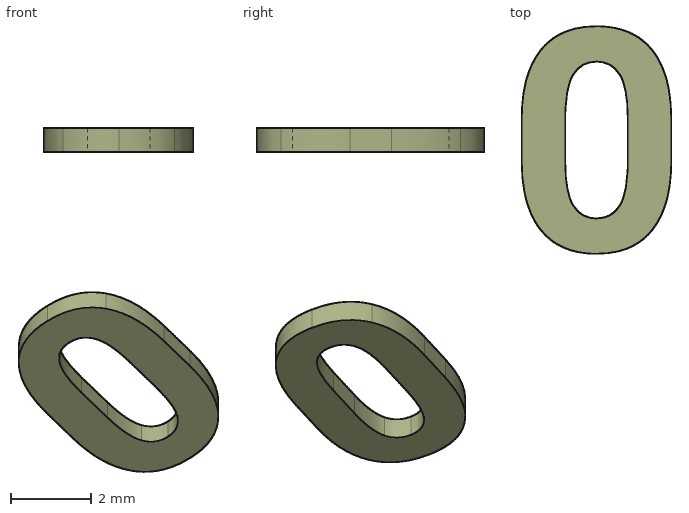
import cadquery as cq

LENGTH = 5.68
WIDTH = 3.74
THICKNESS = 0.6

OUTER_STRAIGHT = 1.035
OUTER_SHOULDER_X = 1.39
OUTER_SHOULDER_Y = 2.245

OPENING_LENGTH = 3.91
OPENING_WIDTH = 1.555
OPENING_STRAIGHT = 1.02
OPENING_SHOULDER_X = 0.58
OPENING_SHOULDER_Y = 1.63


def oval_prism(length, width, straight, shoulder_x, shoulder_y):
    """Extrude an oval with straight sides and two smoothly joined parabolic arcs per quarter."""
    half_length = length / 2
    half_width = width / 2
    half_straight = straight / 2
    side_control_y = 2 * shoulder_y - half_length
    end_control_x = 2 * shoulder_x - half_width

    outline = cq.Workplane("XY").moveTo(half_width, -half_straight)
    for side in (1, -1):
        side_end = (side * half_width, side * half_straight)
        side_control = (side * half_width, side * side_control_y)
        shoulder = (side * shoulder_x, side * shoulder_y)
        end_control = (side * end_control_x, side * half_length)
        tip = (0, side * half_length)
        far_end_control = (-side * end_control_x, side * half_length)
        far_shoulder = (-side * shoulder_x, side * shoulder_y)
        far_side_control = (-side * half_width, side * side_control_y)
        far_side_end = (-side * half_width, side * half_straight)
        outline = (
            outline.lineTo(*side_end)
            .bezier([side_end, side_control, shoulder])
            .bezier([shoulder, end_control, tip])
            .bezier([tip, far_end_control, far_shoulder])
            .bezier([far_shoulder, far_side_control, far_side_end])
        )
    return outline.close().extrude(THICKNESS)


plate = oval_prism(LENGTH, WIDTH, OUTER_STRAIGHT, OUTER_SHOULDER_X, OUTER_SHOULDER_Y)
opening = oval_prism(
    OPENING_LENGTH, OPENING_WIDTH, OPENING_STRAIGHT, OPENING_SHOULDER_X, OPENING_SHOULDER_Y
)
result = plate.cut(opening)